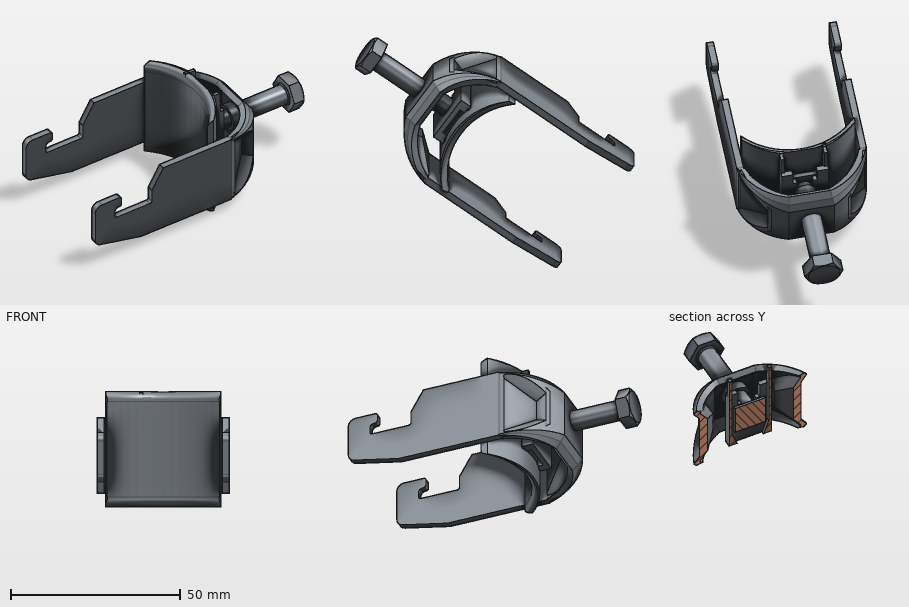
import cadquery as cq
import math


SHEET = 2.0
STRAP_WIDTH = 39.0
STRAP_TOP = 9.5
STRAP_BOTTOM = -13.0
STRAP_MID = (STRAP_TOP + STRAP_BOTTOM) / 2
STRAP_HALF_HEIGHT = (STRAP_TOP - STRAP_BOTTOM) / 2
BACK_HALF_WIDTH = 6.9
LEG_START_Y = -15.75
LEG_END_Y = -64.1
FLANGE_SETBACK = 3.1
RIM_SETBACK_AT_LEG = 0.25
RIM_TILT = 42
BEND_DEPTH = 0.45
BEND_DROP = 0.6
WEB_DROP = 1.2
CORNER_RADIUS = 20.9
CORNER_STATIONS = 6
NORMAL_BLEND = 4

POCKET_BACK = (11.7, -7.0)
POCKET_FRONT = (18.8, -14.65)
POCKET_BACK_HALF = 3.3
POCKET_FRONT_HALF = 9.4
MOUTH_OFFSET = 5.0
MOUTH_BACK_HALF = 5.9
MOUTH_FRONT_HALF = 15.9
MOUTH_SPREAD = 3.35
FILL_DEPTH = 7.5

HOOK_TOP = 5.0
HOOK_TIP_Y = -54.7
LIP_BOTTOM = 1.7
THROAT_Y = -57.1
THROAT_FLOOR = -1.9
NOTCH_Y = -44.0
NOTCH_TOP = 2.7
SHOULDER_Y = -39.95
TAPER_START_Y = -47.7
TAPER_END_Z = -9.4
END_RADIUS = 2.4
TIP_RADIUS = 0.8
THROAT_RADIUS = 1.4
FLOOR_RADIUS = 0.75

COLLAR_DIAMETER = 8.2
COLLAR_END_Y = -4.8

BOLT_DIAMETER = 6.0
BOLT_END_Y = 19.7
HEAD_HEIGHT = 4.0
HEAD_CORNERS = 11.55
HEAD_CHAMFER_ANGLE = 30
HEAD_FACE_DIAMETER = 9.55
SEAT_DIAMETER = 6.95
SEAT_HEIGHT = 0.4
NECK_DIAMETER = 4.2
FOOT_WIDTH = 10.05
FOOT_BACK_Y = -12.0
FOOT_FRONT_Y = -13.2

BRACKET_WIDTH = 14.1
BRACKET_WALL = 1.0
BRACKET_BACK_Y = -10.1
BRACKET_PLATE = 1.5
BRACKET_FRONT_Y = -13.7
BRACKET_HALF_HEIGHT = 9.9
TAB_TOP = 16.9
TAB_FOOT_Y = -11.3
TAB_TIP_Y = -11.6
HOOK_TAB_Y = -15.2
HOOK_TAB_BOTTOM = 15.3
GUSSET_TOP = -5.0
GUSSET_WIDTH = 1.7
SLOT_WIDTH = 4.85
SLOT_MOUTH_WIDTH = 7.3
SLOT_MOUTH_BOTTOM = 5.0

SADDLE_WIDTH = 34.0
SADDLE_TOP = 17.2
SADDLE_BOTTOM = -16.9
SADDLE_FRONT_Y = -22.6
INNER_RADIUS = 22.3
INNER_CREST_Y = -15.25
OUTER_RADIUS = 22.6
OUTER_CREST_Y = -12.7
ROUND_HEIGHT = 2.9
ROUND_RUN = 1.85


def box(x0, x1, y0, y1, z0, z1):
    """Box between two opposite corners."""
    block = cq.Workplane("XY").box(x1 - x0, y1 - y0, z1 - z0, centered=False)
    return block.translate((x0, y0, z0))


def rounded_outline(plane, corners):
    """Closed outline through (u, v, radius) corners, each rounded by its radius."""
    stretches = []
    for i, (u, v, radius) in enumerate(corners):
        here = cq.Vector(u, v)
        if radius == 0:
            stretches.append((here,))
            continue
        before = (cq.Vector(*corners[i - 1][:2]) - here).normalized()
        after = (cq.Vector(*corners[(i + 1) % len(corners)][:2]) - here).normalized()
        half_angle = before.getAngle(after) / 2
        tangent = radius / math.tan(half_angle)
        to_middle = (before + after).normalized() * (radius / math.sin(half_angle) - radius)
        stretches.append((here + before * tangent, here + to_middle, here + after * tangent))
    path = cq.Workplane(plane).moveTo(stretches[0][-1].x, stretches[0][-1].y)
    for stretch in stretches[1:]:
        path = path.lineTo(stretch[0].x, stretch[0].y)
        if len(stretch) > 1:
            path = path.threePointArc((stretch[1].x, stretch[1].y), (stretch[2].x, stretch[2].y))
    return path.close()


def corner_stations():
    """Stations (x, y, normal angle, setback share) from the straight back to a leg."""
    leg_x = STRAP_WIDTH / 2
    run_x = leg_x - BACK_HALF_WIDTH
    chord = math.hypot(run_x, LEG_START_Y)
    chord_normal = math.atan2(run_x, -LEG_START_Y)
    half_sweep = math.asin(chord / 2 / CORNER_RADIUS)
    start = chord_normal + half_sweep
    centre_x = BACK_HALF_WIDTH - CORNER_RADIUS * math.cos(start)
    centre_y = -CORNER_RADIUS * math.sin(start)
    stations = [(BACK_HALF_WIDTH, 0, (math.pi / 2 + start) / 2, 1)]
    for i in range(1, CORNER_STATIONS + 1):
        share = i / CORNER_STATIONS
        angle = start - 2 * half_sweep * share
        x = centre_x + CORNER_RADIUS * math.cos(angle)
        y = centre_y + CORNER_RADIUS * math.sin(angle)
        stations.append((x, y, angle * (1 - share ** NORMAL_BLEND), 1 - share))
    return stations


def strap_section(x, y, angle, share, depth):
    """Wire across the strap: a web whose upper and lower rims lean inward."""
    setback = RIM_SETBACK_AT_LEG + (FLANGE_SETBACK - RIM_SETBACK_AT_LEG) * share
    tilt = math.radians(RIM_TILT * share)
    top = STRAP_HALF_HEIGHT
    upper = [
        (0, top - WEB_DROP * setback),
        (BEND_DEPTH * setback, top - BEND_DROP * setback),
        (setback, top),
        (setback + depth * math.cos(tilt), top - SHEET * math.sin(tilt)),
        (depth, top - WEB_DROP * setback - SHEET * math.sin(tilt / 2)),
    ]
    lower = [(inward, -height) for inward, height in reversed(upper)]
    points = [
        cq.Vector(x - inward * math.cos(angle), y - inward * math.sin(angle), STRAP_MID + height)
        for inward, height in upper + lower
    ]
    return cq.Wire.makePolygon(points, close=True)


def corner(depth):
    """Rounded corner of the strap at +X, of the given depth."""
    sections = [strap_section(*station, depth) for station in corner_stations()]
    return cq.Workplane(cq.Solid.makeLoft(sections))


def back():
    """Straight back between the two corners."""
    x, y, angle, share = corner_stations()[0]
    right = strap_section(x, y, angle, share, SHEET)
    left = strap_section(-x, y, math.pi - angle, share, SHEET)
    return cq.Workplane(cq.Solid.makeLoft([left, right], True))


def corner_pocket():
    """Tapered block that dents a corner, and the direction pointing out of it."""
    along = (cq.Vector(*POCKET_FRONT) - cq.Vector(*POCKET_BACK)).normalized()
    outward = cq.Vector(-along.y, along.x)

    def quad(back, front, back_half, front_half):
        rise = cq.Vector(0, 0, STRAP_MID)
        corners = [
            back + rise + cq.Vector(0, 0, back_half),
            front + rise + cq.Vector(0, 0, front_half),
            front + rise - cq.Vector(0, 0, front_half),
            back + rise - cq.Vector(0, 0, back_half),
        ]
        return cq.Wire.makePolygon(corners, close=True)

    floor_back = cq.Vector(*POCKET_BACK)
    floor_front = cq.Vector(*POCKET_FRONT)
    floor = quad(floor_back, floor_front, POCKET_BACK_HALF, POCKET_FRONT_HALF)
    mouth_back = floor_back + outward * MOUTH_OFFSET - along * MOUTH_SPREAD
    mouth_front = floor_front + outward * MOUTH_OFFSET
    mouth = quad(mouth_back, mouth_front, MOUTH_BACK_HALF, MOUTH_FRONT_HALF)
    return cq.Workplane(cq.Solid.makeLoft([floor, mouth], True)), outward


def leg():
    """Flat leg at +X with the hook at its end."""
    corners = [
        (LEG_START_Y, STRAP_BOTTOM, 0),
        (TAPER_START_Y, STRAP_BOTTOM, 0),
        (LEG_END_Y, TAPER_END_Z, END_RADIUS),
        (LEG_END_Y, HOOK_TOP, END_RADIUS),
        (HOOK_TIP_Y, HOOK_TOP, TIP_RADIUS),
        (HOOK_TIP_Y, LIP_BOTTOM, TIP_RADIUS),
        (THROAT_Y, LIP_BOTTOM, THROAT_RADIUS),
        (THROAT_Y, THROAT_FLOOR, FLOOR_RADIUS),
        (NOTCH_Y, THROAT_FLOOR, FLOOR_RADIUS),
        (NOTCH_Y, NOTCH_TOP, 0),
        (SHOULDER_Y, STRAP_TOP, 0),
        (LEG_START_Y, STRAP_TOP, 0),
    ]
    plate = rounded_outline("YZ", corners).extrude(SHEET)
    return plate.translate((STRAP_WIDTH / 2 - SHEET, 0, 0))


def rod(diameter, y0, y1):
    """Cylinder on the bolt axis from y0 forward to y1."""
    return cq.Workplane("XZ", origin=(0, y0, 0)).circle(diameter / 2).extrude(y0 - y1)


def make_strap():
    pocket, outward = corner_pocket()
    dent = pocket.translate(outward * -SHEET).intersect(corner(FILL_DEPTH))
    side = corner(SHEET).union(dent).cut(pocket).union(leg())
    strap = back().union(side).union(side.mirror("YZ"))
    strap = strap.union(rod(COLLAR_DIAMETER, -SHEET / 2, COLLAR_END_Y))
    return strap.cut(rod(BOLT_DIAMETER, 0, COLLAR_END_Y)).clean()


def make_bolt():
    head_under_y = BOLT_END_Y - HEAD_HEIGHT
    head = cq.Workplane("XZ", origin=(0, BOLT_END_Y, 0)).polygon(6, HEAD_CORNERS).extrude(HEAD_HEIGHT)
    face_radius = HEAD_FACE_DIAMETER / 2
    cone_radius = face_radius + HEAD_HEIGHT / math.tan(math.radians(HEAD_CHAMFER_ANGLE))
    cone = cq.Workplane(cq.Solid.makeCone(
        face_radius, cone_radius, HEAD_HEIGHT, cq.Vector(0, BOLT_END_Y, 0), cq.Vector(0, -1, 0)
    ))
    seat = cq.Workplane(cq.Solid.makeCone(
        SEAT_DIAMETER / 2, BOLT_DIAMETER / 2, SEAT_HEIGHT, cq.Vector(0, head_under_y, 0), cq.Vector(0, -1, 0)
    ))
    shank = rod(BOLT_DIAMETER, head_under_y, BRACKET_BACK_Y)
    neck = rod(NECK_DIAMETER, BRACKET_BACK_Y, FOOT_BACK_Y)
    half_foot = FOOT_WIDTH / 2
    foot = box(-half_foot, half_foot, FOOT_FRONT_Y, FOOT_BACK_Y, -half_foot, half_foot)
    return head.intersect(cone).union(seat).union(shank).union(neck).union(foot)


def bracket_wall():
    """Side wall of the bracket at -X, with the tab that rises to the saddle's upper end."""
    outline = [
        (BRACKET_BACK_Y, -BRACKET_HALF_HEIGHT),
        (BRACKET_BACK_Y, BRACKET_HALF_HEIGHT),
        (TAB_FOOT_Y, BRACKET_HALF_HEIGHT),
        (TAB_TIP_Y, TAB_TOP),
        (BRACKET_FRONT_Y, TAB_TOP),
        (BRACKET_FRONT_Y, -BRACKET_HALF_HEIGHT),
    ]
    wall = cq.Workplane("YZ").polyline(outline).close().extrude(BRACKET_WALL)
    return wall.translate((-BRACKET_WIDTH / 2, 0, 0))


def bracket_gusset():
    """Sloped filler in the lower corner of the bracket at -X."""
    wall_x = BRACKET_WALL - BRACKET_WIDTH / 2
    outline = [
        (wall_x, GUSSET_TOP),
        (wall_x, -BRACKET_HALF_HEIGHT),
        (wall_x + GUSSET_WIDTH, -BRACKET_HALF_HEIGHT),
    ]
    face = cq.Workplane("XZ", origin=(0, BRACKET_BACK_Y, 0)).polyline(outline).close()
    return face.extrude(BRACKET_BACK_Y - BRACKET_FRONT_Y)


def make_bracket():
    half = BRACKET_WIDTH / 2
    plate_front = BRACKET_BACK_Y - BRACKET_PLATE
    plate = box(-half, half, plate_front, BRACKET_BACK_Y, -BRACKET_HALF_HEIGHT, BRACKET_HALF_HEIGHT)
    hook = box(-half, BRACKET_WALL - half, HOOK_TAB_Y, BRACKET_FRONT_Y, HOOK_TAB_BOTTOM, TAB_TOP)
    wall = bracket_wall().union(bracket_gusset())
    bracket = plate.union(wall).union(wall.mirror("YZ")).union(hook)
    slot_half = SLOT_WIDTH / 2
    mouth_half = SLOT_MOUTH_WIDTH / 2
    slot = box(-slot_half, slot_half, plate_front, BRACKET_BACK_Y, 0, BRACKET_HALF_HEIGHT)
    mouth = box(
        -mouth_half, mouth_half, plate_front, BRACKET_BACK_Y, SLOT_MOUTH_BOTTOM, BRACKET_HALF_HEIGHT
    )
    return bracket.cut(slot).cut(rod(SLOT_WIDTH, BRACKET_BACK_Y, plate_front)).cut(mouth)


def saddle_void():
    """Cylinder that hollows the saddle, with bell-shaped ends."""
    diagonal = 1 - math.sqrt(0.5)
    end_radius = INNER_RADIUS + ROUND_RUN
    middle_radius = INNER_RADIUS + ROUND_RUN * diagonal
    top_start = SADDLE_TOP - ROUND_HEIGHT
    bottom_start = SADDLE_BOTTOM + ROUND_HEIGHT
    middle_rise = ROUND_HEIGHT * diagonal
    profile = (
        cq.Workplane("XZ")
        .moveTo(0, SADDLE_BOTTOM)
        .lineTo(end_radius, SADDLE_BOTTOM)
        .threePointArc((middle_radius, SADDLE_BOTTOM + middle_rise), (INNER_RADIUS, bottom_start))
        .lineTo(INNER_RADIUS, top_start)
        .threePointArc((middle_radius, SADDLE_TOP - middle_rise), (end_radius, SADDLE_TOP))
        .lineTo(0, SADDLE_TOP)
        .close()
    )
    return profile.revolve(360, (0, 0, 0), (0, 1, 0)).translate((0, INNER_CREST_Y - INNER_RADIUS, 0))


def make_saddle(bracket):
    """Curved pressure piece, cut away where the bracket sits."""
    half = SADDLE_WIDTH / 2
    block = box(-half, half, SADDLE_FRONT_Y, OUTER_CREST_Y, SADDLE_BOTTOM, SADDLE_TOP)
    outer = (
        cq.Workplane("XY", origin=(0, OUTER_CREST_Y - OUTER_RADIUS, SADDLE_BOTTOM))
        .circle(OUTER_RADIUS)
        .extrude(SADDLE_TOP - SADDLE_BOTTOM)
    )
    half_seat = BRACKET_WIDTH / 2
    seat = box(-half_seat, half_seat, BRACKET_FRONT_Y, 0, -BRACKET_HALF_HEIGHT, SADDLE_TOP)
    return block.intersect(outer).cut(saddle_void()).cut(seat).cut(bracket)


strap = make_strap()
bolt = make_bolt()
bracket = make_bracket()
saddle = make_saddle(bracket)

result = cq.Compound.makeCompound([strap.val(), bolt.val(), bracket.val(), saddle.val()])